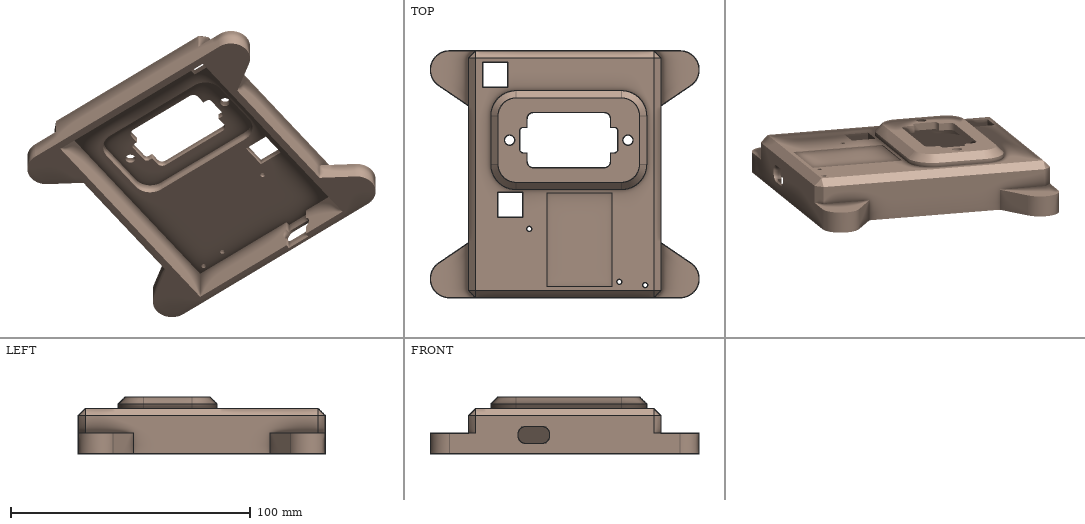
import cadquery as cq
import math

length = 112.4
depth = 103.3
height = 23.8

body_width = 80.5
body_height = 19.0
wall = 3.0
edge_chamfer = 3.0

foot_height = 8.7
foot_radius = 8.0
foot_reach = 23.0

boss_x = 1.7
boss_y = 14.3
boss_length = 65.2
boss_depth = 41.4
boss_corner_radius = 10.6

opening_length = 34.7
opening_depth = 22.9
opening_radius = 2.5
notch_length = 40.9
notch_depth = 10.6
notch_radius = 1.5
screw_diameter = 4.2
screw_spacing = 49.5

terminal_size = 10.3
terminal_positions = [(-29.0, 41.6), (-22.8, -12.7)]
indicator_diameter = 2.0
indicator_positions = [(-14.8, -22.8), (22.8, -45.0), (33.6, -46.3)]
panel_x = 6.2
panel_y = -27.3
panel_length = 27.1
panel_depth = 39.1
panel_recess = 0.5

slot_x = -12.9
slot_z = 7.9
slot_length = 13.3
slot_height = 7.1
slot_radius = 3.3
thin_wall = 1.2
relief_width = 10.1


def block(size_x, size_y, bottom, top, x=0.0, y=0.0):
    """Box centred on (x, y) between two heights."""
    return cq.Workplane("XY", origin=(x, y, bottom)).rect(size_x, size_y).extrude(top - bottom)


def make_body():
    """Solid body with chamfered upright edges and a chamfered lid rim."""
    body = block(body_width, depth, 0, body_height)
    return body.edges("|Z or >Z").chamfer(edge_chamfer)


def make_feet():
    """Slab across each end, widened into rounded feet that taper back to the side walls."""
    side_x = body_width / 2
    end_y = depth / 2
    centre_x = length / 2 - foot_radius
    centre_y = end_y - foot_radius
    root_y = end_y - foot_reach

    span_x = side_x - centre_x
    span_y = root_y - centre_y
    to_root = math.atan2(span_y, span_x)
    tangent = to_root + math.acos(foot_radius / math.hypot(span_x, span_y))
    middle = (tangent + math.pi / 2) / 2

    def arc_point(angle):
        return (centre_x + foot_radius * math.cos(angle), centre_y + foot_radius * math.sin(angle))

    right_foot = (
        cq.Workplane("XY")
        .moveTo(0, end_y)
        .lineTo(centre_x, end_y)
        .threePointArc(arc_point(middle), arc_point(tangent))
        .lineTo(side_x, root_y)
        .lineTo(0, root_y)
        .close()
        .extrude(foot_height)
    )
    back_feet = right_foot.union(right_foot.mirror("YZ"))
    return back_feet.union(back_feet.mirror("XZ"))


def make_boss():
    """Rounded boss standing on the lid, with a chamfered top rim."""
    boss = block(boss_length, boss_depth, body_height - wall, height, boss_x, boss_y)
    return boss.edges("|Z").fillet(boss_corner_radius).faces(">Z").edges().chamfer(edge_chamfer)


def make_cavity():
    """Hollow inside the body and the boss, leaving one wall thickness all round."""
    cavity = block(body_width - 2 * wall, depth - 2 * wall, 0, body_height - wall)
    boss_cavity = block(
        boss_length - 2 * wall, boss_depth - 2 * wall, 0, height - wall, boss_x, boss_y
    )
    boss_cavity = boss_cavity.edges("|Z").fillet(boss_corner_radius - wall)
    return cavity.union(boss_cavity)


def make_socket_cut():
    """Stepped socket opening with a screw hole on either side."""
    opening = block(opening_length, opening_depth, 0, height, boss_x, boss_y)
    notch = block(notch_length, notch_depth, 0, height, boss_x, boss_y)
    screws = (
        cq.Workplane("XY", origin=(boss_x, boss_y, 0))
        .rarray(screw_spacing, 1.1, 2, 1)
        .circle(screw_diameter / 2)
        .extrude(height)
    )
    opening = opening.edges("|Z").fillet(opening_radius)
    return opening.union(notch.edges("|Z").fillet(notch_radius)).union(screws)


def make_lid_cuts():
    """Square terminal windows, indicator holes and the shallow panel recess."""
    windows = (
        cq.Workplane("XY")
        .pushPoints(terminal_positions)
        .rect(terminal_size, terminal_size)
        .extrude(body_height)
    )
    indicators = (
        cq.Workplane("XY")
        .pushPoints(indicator_positions)
        .circle(indicator_diameter / 2)
        .extrude(body_height)
    )
    panel = block(panel_length, panel_depth, body_height - panel_recess, body_height, panel_x, panel_y)
    return windows.union(indicators).union(panel)


def make_cable_slot():
    """Rounded slot through the front wall, with a relief thinning the wall behind it."""
    front_y = -depth / 2
    slot = (
        cq.Workplane("XZ", origin=(slot_x, front_y, slot_z))
        .rect(slot_length, slot_height)
        .extrude(-wall)
        .edges("|Y")
        .fillet(slot_radius)
    )
    relief_depth = wall - thin_wall
    relief_y = front_y + thin_wall + relief_depth / 2
    relief = block(relief_width, relief_depth, 0, body_height - wall, slot_x, relief_y)
    return slot.union(relief)


result = (
    make_body()
    .union(make_feet())
    .union(make_boss())
    .cut(make_cavity())
    .cut(make_socket_cut())
    .cut(make_lid_cuts())
    .cut(make_cable_slot())
)